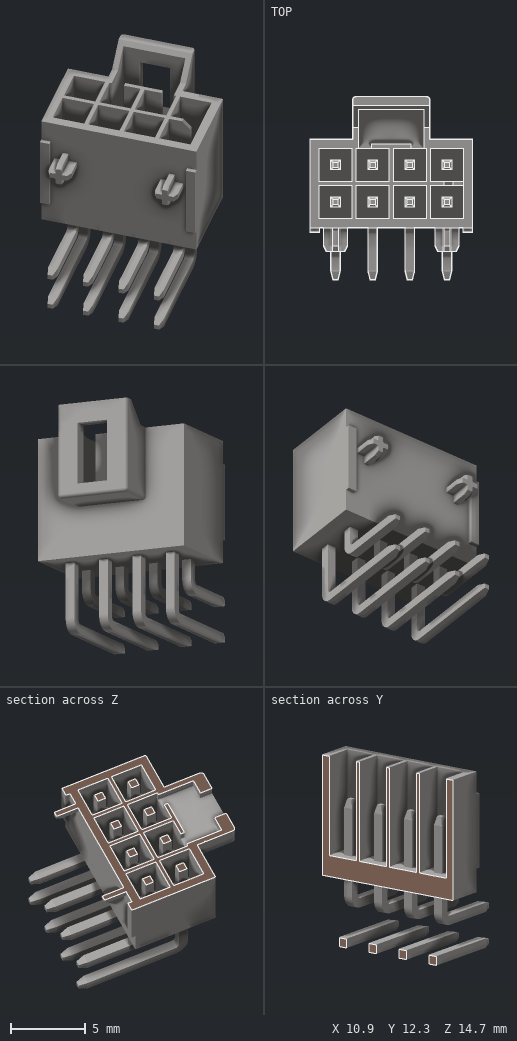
import cadquery as cq


columns = 4
rows = 2
pitch = 2.5
grid_x = [(i - (columns - 1) / 2) * pitch for i in range(columns)]
grid_y = [(j - (rows - 1) / 2) * pitch for j in range(rows)]

cavity_side = 2.21
side_wall = 0.615
long_wall = 0.63
housing_height = 8.42
cavity_floor = 1.5
housing_x = (columns - 1) * pitch + cavity_side + 2 * side_wall
housing_y = (rows - 1) * pitch + cavity_side + 2 * long_wall
front_y = -housing_y / 2
back_y = housing_y / 2
rib = pitch - cavity_side

rib_stub = 1.5
rib_chamfer = 0.58
notch_depth = 2.5

hood_x = 5.21
hood_reach = 2.87
hood_drop = 4.97
hood_rise = 1.49
hood_flat = 0.6
hood_side_wall = 0.415
hood_back_wall = 0.89
hood_floor = 0.89
hood_round = 0.24
hood_back_y = back_y + hood_reach
hood_bottom_z = housing_height - hood_drop
pocket_floor_z = hood_bottom_z + hood_floor
window_x = 2.18
window_rise = 0.1
window_top_z = housing_height + window_rise
partition_x = 2.65
partition_y = 0.29

rail_x = 0.65
rail_height = 5.21
rail_depth = 0.3
rail_top_drop = 1.57

peg_diameter = 1.64
peg_arm = 0.4
peg_length = 1.6
peg_taper_length = 0.39
peg_taper_inset = 0.19
peg_root_round = 0.1
peg_drop = 3.15
peg_z = housing_height - peg_drop

pin_side = 0.65
pin_tip_side = 0.35
pin_tip_length = 0.6
pin_recess = 3.0
pin_top_z = housing_height - pin_recess
tail_reach = 3.5
tail_bottom_drop = 4.75
tail_drop = tail_bottom_drop - pin_side / 2
bend_inner = 0.28
bend_radius = bend_inner + pin_side / 2


def block(x_limits, y_limits, z_limits):
    """Box between the given pairs of limits."""
    sizes = [high - low for low, high in (x_limits, y_limits, z_limits)]
    corner = (x_limits[0], y_limits[0], z_limits[0])
    return cq.Workplane("XY").box(*sizes, centered=False).translate(corner)


def centred_block(x_size, y_limits, z_limits):
    return block((-x_size / 2, x_size / 2), y_limits, z_limits)


def make_hood():
    """Rounded hood whose top slopes down at 45 degrees to the housing top."""
    slope_start_y = hood_back_y - hood_flat
    profile = [
        (back_y, hood_bottom_z),
        (hood_back_y, hood_bottom_z),
        (hood_back_y, housing_height + hood_rise),
        (slope_start_y, housing_height + hood_rise),
        (slope_start_y - hood_rise, housing_height),
        (back_y, housing_height),
    ]
    hood = cq.Workplane("YZ").polyline(profile).close().extrude(hood_x / 2, both=True)
    return hood.edges("(|Z and >Y) or (<Z and |Y) or (<Z and >Y)").fillet(hood_round)


def make_latch_pocket():
    """Space inside the hood, open to the back row around a short partition."""
    cavity_back_y = back_y - long_wall
    top_z = housing_height + hood_rise
    pocket_z = (pocket_floor_z, top_z)
    pocket = centred_block(
        hood_x - 2 * hood_side_wall, (cavity_back_y, hood_back_y - hood_back_wall), pocket_z
    )
    partition = centred_block(
        partition_x, (cavity_back_y, cavity_back_y + partition_y), (pocket_floor_z, housing_height)
    )
    window = centred_block(
        window_x, (hood_back_y - hood_back_wall, hood_back_y), (pocket_floor_z, window_top_z)
    )
    return pocket.cut(partition).union(window)


def make_cavities():
    depth = housing_height - cavity_floor
    return (
        cq.Workplane("XY", origin=(0, 0, cavity_floor))
        .rarray(pitch, pitch, columns, rows)
        .rect(cavity_side, cavity_side)
        .extrude(depth)
    )


def make_rib_notch():
    """Notch between the row rib and the side wall, with a sloped top corner."""
    notch_floor_z = housing_height - notch_depth
    right = grid_x[-1] + cavity_side / 2
    slope_start = right - cavity_side + rib_stub - rib_chamfer
    slope_end = slope_start + rib_chamfer
    return (
        cq.Workplane("XZ")
        .moveTo(slope_start, housing_height)
        .lineTo(slope_end, housing_height - rib_chamfer)
        .lineTo(slope_end, notch_floor_z)
        .lineTo(right, notch_floor_z)
        .lineTo(right, housing_height)
        .close()
        .extrude(rib / 2, both=True)
    )


def make_rail(side):
    outer_x = side * housing_x / 2
    inner_x = outer_x - side * rail_x
    top_z = housing_height - rail_top_drop
    return block(
        sorted((inner_x, outer_x)), (front_y - rail_depth, front_y), (top_z - rail_height, top_z)
    )


def make_peg(x):
    """Cross with rounded inner corners, trimmed to a round, tapered envelope."""
    base = cq.Workplane("XZ", origin=(x, front_y, peg_z))
    cross = base.rect(peg_diameter, peg_arm).extrude(peg_length)
    cross = cross.union(base.rect(peg_arm, peg_diameter).extrude(peg_length))
    half_arm = peg_arm / 2 + peg_root_round
    inner_corners = cq.selectors.BoxSelector(
        (x - half_arm, front_y - peg_length, peg_z - half_arm), (x + half_arm, front_y, peg_z + half_arm)
    )
    cross = cross.edges("|Y").edges(inner_corners).fillet(peg_root_round)
    radius = peg_diameter / 2
    profile = [
        (0, 0),
        (radius, 0),
        (radius, peg_length - peg_taper_length),
        (radius - peg_taper_inset, peg_length),
        (0, peg_length),
    ]
    envelope = cq.Workplane("XY").polyline(profile).close().revolve(360, (0, 0, 0), (0, 1, 0))
    envelope = envelope.mirror("XZ").translate((x, front_y, peg_z))
    return cross.intersect(envelope)


def make_tip(plane):
    """Tapered pin end that grows from the plane along its normal."""
    taper = cq.Workplane(plane).rect(pin_side, pin_side).workplane(offset=pin_tip_length)
    return taper.rect(pin_tip_side, pin_tip_side).loft(combine=True)


def make_terminal(x, y):
    """Square pin bent from -Z to -Y, tapered at both ends; rear rows bend lower."""
    tail_z = -tail_drop + (grid_y[-1] - y)
    shank_top_z = pin_top_z - pin_tip_length
    tail_end_y = front_y - tail_reach + pin_tip_length
    path = (
        cq.Workplane("YZ", origin=(x, 0, 0))
        .moveTo(y, shank_top_z)
        .lineTo(y, tail_z + bend_radius)
        .radiusArc((y - bend_radius, tail_z), bend_radius)
        .lineTo(tail_end_y, tail_z)
    )
    shank = cq.Workplane("XY", origin=(x, y, shank_top_z)).rect(pin_side, pin_side).sweep(path)
    top_tip = make_tip(cq.Plane((x, y, shank_top_z), (1, 0, 0), (0, 0, 1)))
    tail_tip = make_tip(cq.Plane((x, tail_end_y, tail_z), (1, 0, 0), (0, -1, 0)))
    return shank.union(top_tip).union(tail_tip)


result = centred_block(housing_x, (front_y, back_y), (0, housing_height))
result = result.union(make_hood())
result = result.cut(make_latch_pocket()).cut(make_cavities()).cut(make_rib_notch())
for side in (-1, 1):
    result = result.union(make_rail(side))
for peg_x in (grid_x[0], grid_x[-1]):
    result = result.union(make_peg(peg_x))
for pin_x in grid_x:
    for pin_y in grid_y:
        result = result.union(make_terminal(pin_x, pin_y))